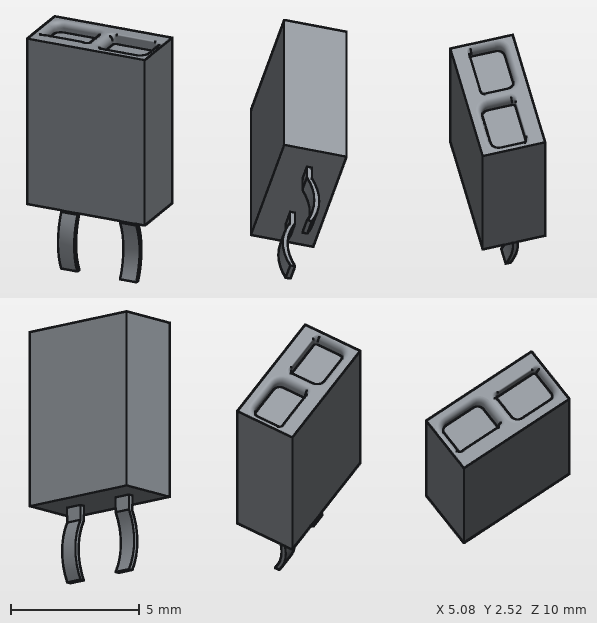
import cadquery as cq
import math

body_length = 5.08
body_width = 2.52
body_height = 7.0
pitch = body_length / 2

overall_height = 10.0
pin_length = overall_height - body_height
pin_width = 0.7
pin_thickness = 0.2
pin_straight = 0.6
pin_bow = 0.3

pocket_length = 1.88
pocket_far_y = 0.78
pocket_near_y = -0.6
pocket_depth = 0.4
far_corner_radius = 0.29
near_corner_radius = 0.11
side_round = 0.3
far_round = 0.22
near_round = 0.05
wall_band = 0.06
core_inset = wall_band / 2

half_length = pocket_length / 2
straight_start = pocket_near_y + near_corner_radius
straight_end = pocket_far_y - far_corner_radius


def make_pin(bow_direction):
    """Flat pin centred on x = 0 whose lower part bows to one side in Y."""
    half = pin_thickness / 2
    middle = -(pin_straight + pin_length) / 2
    bow = bow_direction * pin_bow
    return (
        cq.Workplane("YZ", origin=(-pin_width / 2, 0, 0))
        .moveTo(-half, 0)
        .lineTo(-half, -pin_straight)
        .threePointArc((-half + bow, middle), (-half, -pin_length))
        .lineTo(half, -pin_length)
        .threePointArc((half + bow, middle), (half, -pin_straight))
        .lineTo(half, 0)
        .close()
        .extrude(pin_width)
    )


def wall_section(origin, outward, radius):
    """Section of a pocket wall with a convex quarter round, tangent to the wall and top face."""
    plane = cq.Plane(origin=origin, xDir=outward, normal=(outward[1], -outward[0], 0))
    diagonal = radius * (1 - math.sqrt(0.5))
    return (
        cq.Workplane(plane)
        .moveTo(-wall_band, 0)
        .lineTo(radius, 0)
        .threePointArc((diagonal, -diagonal), (0, -radius))
        .lineTo(0, -pocket_depth)
        .lineTo(-wall_band, -pocket_depth)
        .close()
    )


def corner_wall(corner_radius, center_y, y_sign, end_round):
    """Wall and lead-in around a +X pocket corner, blending from the side radius to the end radius."""
    center_x = half_length - corner_radius
    start = (half_length, center_y, 0)
    end = (center_x, center_y + y_sign * corner_radius, 0)
    diagonal = corner_radius * math.sqrt(0.5)
    middle = (center_x + diagonal, center_y + y_sign * diagonal, 0)
    path = cq.Workplane("XY").add(cq.Edge.makeThreePointArc(
        cq.Vector(*start), cq.Vector(*middle), cq.Vector(*end)))
    side_section = wall_section(start, (1, 0, 0), side_round).val()
    end_section = wall_section(end, (0, y_sign, 0), end_round).val()
    sections = cq.Workplane("XY").add([side_section, end_section])
    return sections.toPending().sweep(path, multisection=True)


def end_wall(wall_y, y_sign, corner_radius, radius):
    """Wall and lead-in along the straight part of an end wall."""
    half_run = half_length - corner_radius
    section = wall_section((-y_sign * half_run, wall_y, 0), (0, y_sign, 0), radius)
    return section.extrude(2 * half_run)


def make_pocket():
    """Pocket cutter centred on x = 0, with its top on Z = 0."""
    pocket = (
        cq.Workplane("XY", origin=(0, (pocket_far_y + pocket_near_y) / 2, -pocket_depth))
        .rect(pocket_length - 2 * core_inset, pocket_far_y - pocket_near_y - 2 * core_inset)
        .extrude(pocket_depth)
    )
    pocket = pocket.edges("|Z and >Y").fillet(far_corner_radius - core_inset)
    pocket = pocket.edges("|Z and <Y").fillet(near_corner_radius - core_inset)

    side = wall_section((half_length, straight_end, 0), (1, 0, 0), side_round)
    side_pieces = [
        side.extrude(straight_end - straight_start),
        corner_wall(far_corner_radius, straight_end, 1, far_round),
        corner_wall(near_corner_radius, straight_start, -1, near_round),
    ]
    for piece in side_pieces:
        pocket = pocket.union(piece).union(piece.mirror("YZ"))
    pocket = pocket.union(end_wall(pocket_far_y, 1, far_corner_radius, far_round))
    return pocket.union(end_wall(pocket_near_y, -1, near_corner_radius, near_round))


result = cq.Workplane("XY").box(body_length, body_width, body_height, centered=(True, True, False))

pocket_cutter = make_pocket().translate((-pitch / 2, 0, body_height))
left_pin = make_pin(-1).translate((-pitch / 2, 0, 0))
for turn in (0, 180):
    result = result.cut(pocket_cutter.rotate((0, 0, 0), (0, 0, 1), turn))
    result = result.union(left_pin.rotate((0, 0, 0), (0, 0, 1), turn))